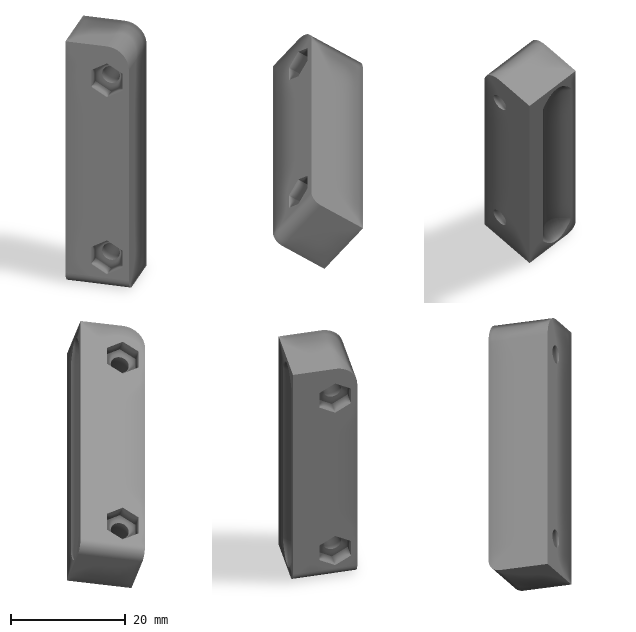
import cadquery as cq
import math

WIDTH = 11.5
DEPTH = 11.0
HEIGHT = 46.5
TOP_CORNER_RADIUS = 4.0
BOTTOM_EDGE_RADIUS = 2.0

HOLE_DIAMETER = 3.2
NUT_ACROSS_FLATS = 5.63
NUT_POCKET_DEPTH = 2.5
HOLE_X = 7.55
LOWER_HOLE_Z = 6.0
HOLE_SPACING = 34.0

GROOVE_Y = 4.5
GROOVE_WIDTH = 6.65
GROOVE_FLOOR_RADIUS = 2.55
GROOVE_BOTTOM_Z = 4.0
GROOVE_TOP_Z = 42.05
END_AXIS_OFFSET = 1.35


def make_block():
    block = cq.Workplane("XY").box(WIDTH, DEPTH, HEIGHT, centered=False)
    block = block.edges("|Y and >X and >Z").fillet(TOP_CORNER_RADIUS)
    return block.edges("|X and <Y and <Z").fillet(BOTTOM_EDGE_RADIUS)


def groove_section(z):
    """Cross-section at height z, extended outward to the end sweep axis."""
    half_width = GROOVE_WIDTH / 2
    tangent_half_width = GROOVE_FLOOR_RADIUS * math.sin(math.radians(45))
    flank_depth = half_width - tangent_half_width
    floor_depth = flank_depth + GROOVE_FLOOR_RADIUS - tangent_half_width
    return (
        cq.Workplane("XY", origin=(0, GROOVE_Y, z))
        .moveTo(-END_AXIS_OFFSET, -half_width)
        .lineTo(0, -half_width)
        .lineTo(flank_depth, -tangent_half_width)
        .threePointArc((floor_depth, 0), (flank_depth, tangent_half_width))
        .lineTo(0, half_width)
        .lineTo(-END_AXIS_OFFSET, half_width)
        .close()
    )


def groove_end(z):
    """The groove section revolved about an axis along Y outside the block."""
    axis_start = (-END_AXIS_OFFSET, 0)
    axis_end = (-END_AXIS_OFFSET, 1)
    return groove_section(z).revolve(360, axis_start, axis_end)


def make_groove():
    straight = groove_section(GROOVE_BOTTOM_Z).extrude(GROOVE_TOP_Z - GROOVE_BOTTOM_Z)
    return straight.union(groove_end(GROOVE_BOTTOM_Z)).union(groove_end(GROOVE_TOP_Z))


def make_nut_hole(z):
    """Through hole along Y with a hexagonal pocket, points up and down."""
    front = cq.Workplane("XZ", origin=(HOLE_X, 0, z))
    across_corners = NUT_ACROSS_FLATS / math.cos(math.radians(30))
    hole = front.circle(HOLE_DIAMETER / 2).extrude(-DEPTH)
    pocket = front.transformed(rotate=(0, 0, 90)).polygon(6, across_corners).extrude(-NUT_POCKET_DEPTH)
    return hole.union(pocket)


result = make_block().cut(make_groove())
for hole_z in (LOWER_HOLE_Z, LOWER_HOLE_Z + HOLE_SPACING):
    result = result.cut(make_nut_hole(hole_z))